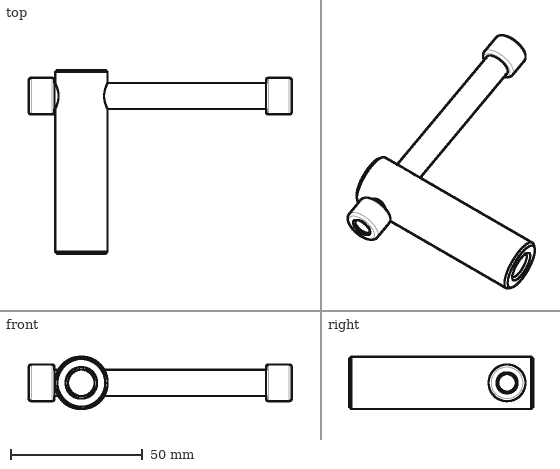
import cadquery as cq

body_diameter = 20
body_length = 70
body_chamfer = 0.9
rod_to_back_end = 10
body_front_y = rod_to_back_end - body_length

bore_diameter = 10.1
bore_mouth_diameter = 12
bore_depth = 20
bore_cone_depth = 3

rod_diameter = 10
handle_length = 100
handle_left_x = -20
handle_right_x = handle_left_x + handle_length
knob_diameter = 14
knob_length = 9.8
knob_edge_radius = 1

knob_hole_diameter = 6.7
knob_hole_mouth_diameter = 8
knob_hole_depth = 8


def make_body():
    return (
        cq.Workplane("XZ", origin=(0, rod_to_back_end, 0))
        .circle(body_diameter / 2)
        .extrude(body_length)
        .edges()
        .chamfer(body_chamfer)
    )


def make_bore():
    """Bore with a 45 degree countersink and a conical bottom, revolved about Y."""
    radius = bore_diameter / 2
    mouth_radius = bore_mouth_diameter / 2
    countersink_depth = mouth_radius - radius
    bottom_y = body_front_y + bore_depth
    return (
        cq.Workplane("XY")
        .moveTo(0, body_front_y)
        .lineTo(mouth_radius, body_front_y)
        .lineTo(radius, body_front_y + countersink_depth)
        .lineTo(radius, bottom_y)
        .lineTo(0, bottom_y + bore_cone_depth)
        .close()
        .revolve(360, (0, 0, 0), (0, 1, 0))
    )


def make_knob(outer_x, inward):
    """Rounded knob with its outer face at outer_x; inward is +1 or -1 along X."""
    knob = (
        cq.Workplane("YZ", origin=(outer_x, 0, 0))
        .circle(knob_diameter / 2)
        .extrude(inward * knob_length)
        .edges("%CIRCLE")
        .fillet(knob_edge_radius)
    )
    radius = knob_hole_diameter / 2
    mouth_radius = knob_hole_mouth_diameter / 2
    countersink_x = outer_x + inward * (mouth_radius - radius)
    bottom_x = outer_x + inward * knob_hole_depth
    hole = (
        cq.Workplane("XY")
        .moveTo(outer_x, 0)
        .lineTo(outer_x, mouth_radius)
        .lineTo(countersink_x, radius)
        .lineTo(bottom_x, radius)
        .lineTo(bottom_x, 0)
        .close()
        .revolve(360, (0, 0, 0), (1, 0, 0))
    )
    return knob.cut(hole)


def make_rod():
    """Rod reaching from the inner face of one knob to that of the other."""
    return (
        cq.Workplane("YZ", origin=(handle_left_x + knob_length, 0, 0))
        .circle(rod_diameter / 2)
        .extrude(handle_length - 2 * knob_length)
    )


result = make_body().union(make_rod()).cut(make_bore())
for knob_face_x, direction in ((handle_left_x, 1), (handle_right_x, -1)):
    result = result.union(make_knob(knob_face_x, direction))